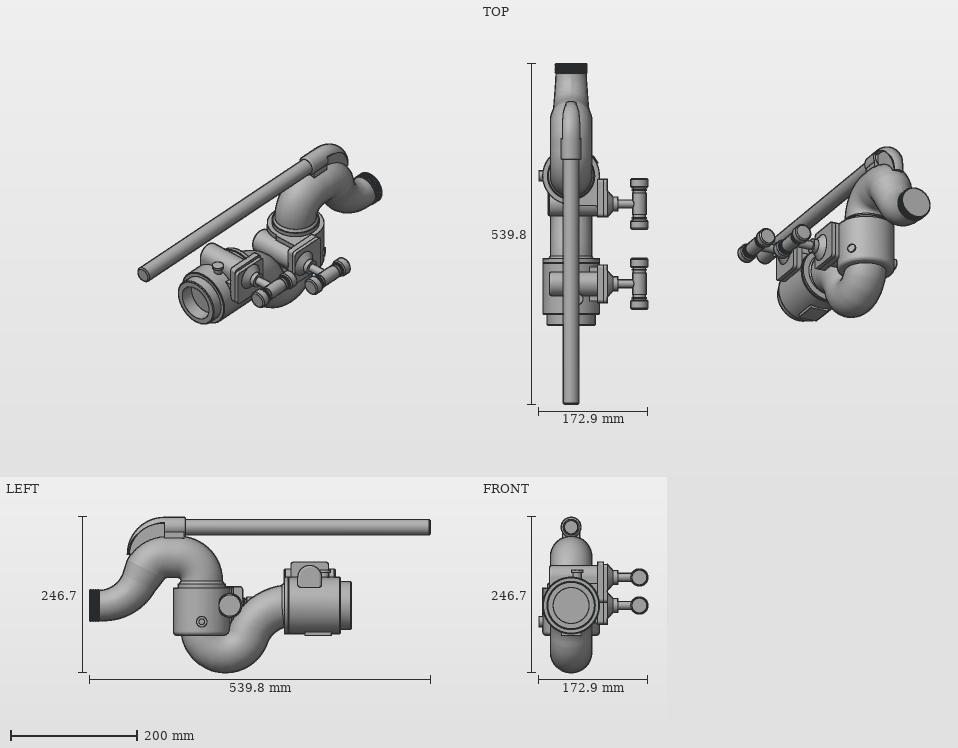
import cadquery as cq
import math


PIPE_R = 33.0
BEND_R = 37.5
SWIVEL_R = 45.0

BASE_BACK_Y = -131.0
BASE_FRONT_Y = -219.5
INLET_END_Y = -237.0
INLET_R = 38.3
INLET_BORE_R = 28.5
INLET_BORE_DEPTH = 22.0
INLET_CHAMFER = 1.5
BODY_CHAMFER = 1.2
SEAM_Y = -138.5
SEAM_WIDTH = 1.6
SEAM_DEPTH = 1.0

DRAIN_PAD_Y = -184.5
DRAIN_PAD_LENGTH = 42.0
DRAIN_PAD_WIDTH = 31.0
DRAIN_PAD_BOTTOM_Z = -47.6

PLUG_X = 9.8
PLUG_Y = -195.0
PLUG_TOP_Z = 56.0
PLUG_HEAD_R = 9.0
PLUG_HEAD_HEIGHT = 4.0
PLUG_STEM_R = 6.5

WORM_OFFSET = 44.5
WORM_R = 19.0
WORM_END_X = 42.0
MIDDLE_WORM_START_X = -36.5
BASE_WORM_START_X = -34.5
BASE_WORM_FOOT_Z = 22.0
WORM_END_FILLET = 4.0
BASE_WORM_Y = -171.0
BASE_WORM_PLACE = (0, BASE_WORM_Y, WORM_OFFSET)
MIDDLE_WORM_CHAMFER = 2.0
MIDDLE_WORM_PLACE = (0, -WORM_OFFSET, 0)

FLANGE_FACE_X = 51.5
COVER_HALF_WIDTH = 30.0
COVER_OUTER = 20.5
COVER_INNER = -39.5
COVER_THICKNESS = 6.0
COVER_CORNER_R = 5.0
BASE_FLANGE_RISE = 4.0
BLOCK_HALF_WIDTH = 27.0
BLOCK_INNER = -36.5
BLOCK_OUTER = -10.0
GUSSET_OUTER = 2.5
GUSSET_TIP = 15.5
GUSSET_START_X = 39.0

CONE_BASE_R = 21.0
CONE_HEIGHT = 9.0
HUB_R = 11.2
HUB_END_X = 74.0

CRANK_R = 6.6
KNOB_X = 108.1
KNOB_LENGTH = 81.0
KNOB_CAP_R = 13.7
KNOB_CAP_LENGTH = 15.0
KNOB_CAP_CHAMFER = 2.0
KNOB_GRIP_R = 10.9
KNOB_GRIP_HALF = 17.0
KNOB_NECK_R = 10.0
KNOB_BEAD_R = 11.5
KNOB_BEAD_WIDTH = 1.5
KNOB_BEAD_OFFSET = 21.5

HOUSING_TOP_Z = 27.4
HOUSING_BOTTOM_Z = -47.5
HOUSING_FILLET = 6.0
LOWER_BEND_Z = -36.3
LOWER_BEND_TILT = 20.0
NECK_R = 35.2
NECK_LENGTH = 4.0
SIDE_PLUG_R = 8.3
SIDE_PLUG_Z = -25.7
SIDE_PLUG_END_X = -51.1
SIDE_PLUG_SOCKET_R = 4.5
REAR_PLUG_R = 6.7
REAR_PLUG_REACH = 46.8
REAR_PLUG_ANGLE = 34.0
SIDE_PLUG_SOCKET_DEPTH = 3.0

COLLAR_R = 37.5
COLLAR_TOP_Z = 34.0
COLLAR_SHOULDER_Z = 38.5
SHOULDER_R = 36.0
APEX_Z = 77.0
APEX_STRAIGHT = 18.0
DOWN_ANGLE = 62.0
TAPER_LENGTH = 24.0
TAPER_END_R = 28.8
OUTLET_R = 24.2
OUTLET_END_Y = 177.7
THREAD_START_Y = 162.0
THREAD_R = 25.4
THREAD_DEPTH = 1.2
THREAD_COUNT = 6

BAR_Z = 124.0
BAR_R = 12.5
OVERALL_LENGTH = 539.75
BAR_END_Y = OUTLET_END_Y - OVERALL_LENGTH
BAR_CHAMFER = 2.0
SLEEVE_R = 15.9
SLEEVE_FRONT_Y = 25.5
SLEEVE_BACK_Y = 59.0
SLEEVE_NOSE_FILLET = 2.8
PEDESTAL_HALF_WIDTH = 14.0
HORN_R = 59.0
HORN_HALF_WIDTH = 14.0
HORN_TIP_HALF_WIDTH = 7.0
HORN_STRAIGHT_LENGTH = 37.0
HORN_THICKNESS = 10.0
HORN_TIP_THICKNESS = 3.0
WEB_HALF_WIDTH = 8.0


def cylinder_y(radius, start_y, end_y, x=0.0, z=0.0):
    axis_plane = cq.Plane((x, start_y, z), xDir=(1, 0, 0), normal=(0, 1, 0))
    return cq.Workplane(axis_plane).circle(radius).extrude(end_y - start_y)


def cylinder_x(radius, start_x, end_x, y=0.0, z=0.0):
    return cq.Workplane("YZ", origin=(start_x, y, z)).circle(radius).extrude(end_x - start_x)


def cylinder_z(radius, start_z, end_z, x=0.0, y=0.0):
    return cq.Workplane("XY", origin=(x, y, start_z)).circle(radius).extrude(end_z - start_z)


def box(x_range, y_range, z_range):
    size = [high - low for low, high in (x_range, y_range, z_range)]
    start = (x_range[0], y_range[0], z_range[0])
    return cq.Workplane("XY").box(*size, centered=False).translate(start)


def place_on_middle(part):
    """Turn a part laid out with the swivel below the worm so the swivel is behind it, then move it."""
    return part.rotate((0, 0, 0), (1, 0, 0), 90).translate(MIDDLE_WORM_PLACE)


def plate(start_x, thickness, outer):
    """Rounded plate square to the worm axis, reaching the given distance out from that axis."""
    height = outer - COVER_INNER
    middle = (outer + COVER_INNER) / 2
    outline = cq.Workplane("YZ", origin=(start_x, 0, middle)).rect(2 * COVER_HALF_WIDTH, height)
    return outline.extrude(thickness).edges("|X").fillet(COVER_CORNER_R)


def gear_block(flange_outer):
    flange = plate(WORM_END_X, FLANGE_FACE_X - WORM_END_X, flange_outer)
    block = box((0, WORM_END_X), (-BLOCK_HALF_WIDTH, BLOCK_HALF_WIDTH), (BLOCK_INNER, BLOCK_OUTER))
    return flange.union(block)


def gear_gusset():
    """Web that fills the corner between the swivel housing and the gear flange."""
    outline = [
        (0, BLOCK_INNER),
        (FLANGE_FACE_X, BLOCK_INNER),
        (FLANGE_FACE_X, GUSSET_TIP),
        (GUSSET_START_X, GUSSET_OUTER),
        (0, GUSSET_OUTER),
    ]
    return cq.Workplane("XZ").polyline(outline).close().extrude(HOUSING_TOP_Z, both=True)


def gear_cover():
    cover_face_x = FLANGE_FACE_X + COVER_THICKNESS
    cone_end_x = cover_face_x + CONE_HEIGHT
    hub_profile = [
        (cover_face_x, 0),
        (cover_face_x, CONE_BASE_R),
        (cone_end_x, HUB_R),
        (HUB_END_X, HUB_R),
        (HUB_END_X, 0),
    ]
    hub = cq.Workplane("XZ").polyline(hub_profile).close().revolve(360, (0, 0, 0), (1, 0, 0))
    cover = plate(FLANGE_FACE_X, COVER_THICKNESS, COVER_OUTER).union(hub)
    return cover.cut(crank_shaft())


def crank_shaft():
    shaft = cylinder_x(CRANK_R, FLANGE_FACE_X, KNOB_X)
    return shaft.cut(crank_knob())


def crank_knob():
    knob_end = KNOB_LENGTH / 2
    cap_start = knob_end - KNOB_CAP_LENGTH
    half = cylinder_y(KNOB_GRIP_R, 0, KNOB_GRIP_HALF)
    half = half.union(cylinder_y(KNOB_NECK_R, 0, cap_start))
    half = half.union(cylinder_y(KNOB_BEAD_R, KNOB_BEAD_OFFSET, KNOB_BEAD_OFFSET + KNOB_BEAD_WIDTH))
    half = half.union(cylinder_y(KNOB_CAP_R, cap_start, knob_end).faces("<Y or >Y").chamfer(KNOB_CAP_CHAMFER))
    return half.union(half.mirror("XZ")).translate((KNOB_X, 0, 0))


def build_base():
    body = cylinder_y(SWIVEL_R, BASE_FRONT_Y, BASE_BACK_Y).faces("<Y").chamfer(BODY_CHAMFER)
    seam = cylinder_y(SWIVEL_R, SEAM_Y, SEAM_Y + SEAM_WIDTH)
    seam = seam.cut(cylinder_y(SWIVEL_R - SEAM_DEPTH, SEAM_Y, SEAM_Y + SEAM_WIDTH))
    body = body.cut(seam)
    inlet = cylinder_y(INLET_R, INLET_END_Y, BASE_FRONT_Y).faces("<Y").chamfer(INLET_CHAMFER)

    worm_round = cylinder_x(WORM_R, BASE_WORM_START_X, WORM_END_X, BASE_WORM_Y, WORM_OFFSET)
    worm_skirt = box(
        (BASE_WORM_START_X, WORM_END_X),
        (BASE_WORM_Y - WORM_R, BASE_WORM_Y + WORM_R),
        (BASE_WORM_FOOT_Z, WORM_OFFSET),
    )
    worm = worm_round.union(worm_skirt).faces("<X").edges().fillet(WORM_END_FILLET)
    gears = gear_block(COVER_OUTER + BASE_FLANGE_RISE).translate(BASE_WORM_PLACE)

    pad_centre = (0, DRAIN_PAD_Y, DRAIN_PAD_BOTTOM_Z)
    pad = cq.Workplane("XY", origin=pad_centre).rect(DRAIN_PAD_WIDTH, DRAIN_PAD_LENGTH)
    pad = pad.extrude(-DRAIN_PAD_BOTTOM_Z)

    head_bottom_z = PLUG_TOP_Z - PLUG_HEAD_HEIGHT
    plug = cylinder_z(PLUG_STEM_R, 0, PLUG_TOP_Z, PLUG_X, PLUG_Y)
    plug = plug.union(cylinder_z(PLUG_HEAD_R, head_bottom_z, PLUG_TOP_Z, PLUG_X, PLUG_Y))

    bore = cylinder_y(INLET_BORE_R, INLET_END_Y, INLET_END_Y + INLET_BORE_DEPTH)
    base = body.union(inlet).union(worm).union(gears).union(pad).union(plug)
    return base.cut(bore)


def lower_pipe():
    tilt = math.radians(LOWER_BEND_TILT)
    bend_end_y = -BEND_R - BEND_R * math.cos(tilt)
    bend_end_z = LOWER_BEND_Z - BEND_R * math.sin(tilt)
    rise_r = -bend_end_z / (1 - math.sin(tilt))
    rise_end_y = bend_end_y - rise_r * math.cos(tilt)
    path = (
        cq.Workplane("YZ")
        .moveTo(0, 0)
        .lineTo(0, LOWER_BEND_Z)
        .tangentArcPoint((bend_end_y, bend_end_z), relative=False)
        .tangentArcPoint((rise_end_y, 0), relative=False)
    )
    pipe = cq.Workplane("XY").circle(PIPE_R).sweep(path)
    beyond_base = box((-SWIVEL_R, SWIVEL_R), (rise_end_y - SWIVEL_R, BASE_BACK_Y), (-SWIVEL_R, SWIVEL_R))
    neck_start = cq.Vector(0, BASE_BACK_Y, 0)
    neck = cq.Solid.makeCone(NECK_R, PIPE_R, NECK_LENGTH, neck_start, cq.Vector(0, 1, 0))
    return pipe.cut(beyond_base).union(cq.Workplane(neck))


def build_middle():
    housing = cylinder_z(SWIVEL_R, HOUSING_BOTTOM_Z, HOUSING_TOP_Z).faces("<Z").edges().fillet(HOUSING_FILLET)
    worm = cylinder_x(WORM_R, MIDDLE_WORM_START_X, WORM_END_X, -WORM_OFFSET)
    worm = worm.faces("<X").chamfer(MIDDLE_WORM_CHAMFER)
    gears = place_on_middle(gear_block(COVER_OUTER).union(gear_gusset()))
    plug = cylinder_x(SIDE_PLUG_R, SIDE_PLUG_END_X, 0, 0, SIDE_PLUG_Z)
    socket_end_x = SIDE_PLUG_END_X + SIDE_PLUG_SOCKET_DEPTH
    socket = cylinder_x(SIDE_PLUG_SOCKET_R, SIDE_PLUG_END_X, socket_end_x, 0, SIDE_PLUG_Z)
    rear_plug = cylinder_x(REAR_PLUG_R, 0, REAR_PLUG_REACH, 0, SIDE_PLUG_Z)
    rear_plug = rear_plug.rotate((0, 0, 0), (0, 0, 1), REAR_PLUG_ANGLE)
    middle = housing.union(lower_pipe()).union(worm).union(gears).union(plug).union(rear_plug)
    return middle.cut(socket)


def discharge_pipe():
    down = math.radians(DOWN_ANGLE)
    bend_start_z = APEX_Z - BEND_R
    apex_end_y = BEND_R + APEX_STRAIGHT
    taper_start_y = apex_end_y + BEND_R * math.sin(down)
    taper_start_z = APEX_Z - BEND_R * (1 - math.cos(down))
    taper_end_y = taper_start_y + TAPER_LENGTH * math.cos(down)
    taper_end_z = taper_start_z - TAPER_LENGTH * math.sin(down)
    outlet_bend_r = taper_end_z / (1 - math.cos(down))
    outlet_bend_end_y = taper_end_y + outlet_bend_r * math.sin(down)

    upper_path = (
        cq.Workplane("YZ")
        .moveTo(0, HOUSING_TOP_Z)
        .lineTo(0, bend_start_z)
        .tangentArcPoint((BEND_R, APEX_Z), relative=False)
        .lineTo(apex_end_y, APEX_Z)
        .tangentArcPoint((taper_start_y, taper_start_z), relative=False)
    )
    upper = cq.Workplane("XY", origin=(0, 0, HOUSING_TOP_Z)).circle(PIPE_R).sweep(upper_path)

    flow = cq.Vector(0, math.cos(down), -math.sin(down))
    taper = cq.Workplane(
        cq.Solid.makeCone(PIPE_R, TAPER_END_R, TAPER_LENGTH, cq.Vector(0, taper_start_y, taper_start_z), flow)
    )

    outlet_path = (
        cq.Workplane("YZ")
        .moveTo(taper_end_y, taper_end_z)
        .radiusArc((outlet_bend_end_y, 0), -outlet_bend_r)
    )
    inner_plane = cq.Plane((0, taper_end_y, taper_end_z), xDir=(1, 0, 0), normal=flow.toTuple())
    outer_plane = cq.Plane((0, outlet_bend_end_y, 0), xDir=(1, 0, 0), normal=(0, 1, 0))
    outlet_bend = cq.Workplane(
        cq.Solid.sweep_multi(
            [
                cq.Wire.makeCircle(TAPER_END_R, inner_plane.origin, inner_plane.zDir),
                cq.Wire.makeCircle(OUTLET_R, outer_plane.origin, outer_plane.zDir),
            ],
            cq.Wire.assembleEdges([outlet_path.val()]),
        )
    )
    outlet = cylinder_y(OUTLET_R, outlet_bend_end_y, OUTLET_END_Y)
    return upper.union(taper).union(outlet_bend).union(outlet)


def outlet_thread():
    pitch = (OUTLET_END_Y - THREAD_START_Y) / THREAD_COUNT
    root_r = THREAD_R - THREAD_DEPTH
    profile = cq.Workplane("XY").moveTo(0, THREAD_START_Y).lineTo(root_r, THREAD_START_Y)
    for turn in range(THREAD_COUNT):
        ridge_start_y = THREAD_START_Y + turn * pitch
        profile = profile.lineTo(THREAD_R, ridge_start_y + pitch / 2).lineTo(root_r, ridge_start_y + pitch)
    profile = profile.lineTo(0, OUTLET_END_Y).close()
    return profile.revolve(360, (0, 0, 0), (0, 1, 0))


def swivel_collar():
    collar = cylinder_z(COLLAR_R, HOUSING_TOP_Z, COLLAR_TOP_Z)
    shoulder = cq.Solid.makeCone(
        SHOULDER_R, PIPE_R, COLLAR_SHOULDER_Z - COLLAR_TOP_Z, cq.Vector(0, 0, COLLAR_TOP_Z)
    )
    return collar.union(cq.Workplane(shoulder))


def bar_socket():
    sleeve = cylinder_y(SLEEVE_R, SLEEVE_FRONT_Y, SLEEVE_BACK_Y, z=BAR_Z)
    sleeve = sleeve.faces("<Y").edges().fillet(SLEEVE_NOSE_FILLET)
    pedestal = box(
        (-PEDESTAL_HALF_WIDTH, PEDESTAL_HALF_WIDTH),
        (SLEEVE_FRONT_Y + SLEEVE_NOSE_FILLET, SLEEVE_BACK_Y),
        (APEX_Z, BAR_Z),
    )

    horn_top_z = BAR_Z + SLEEVE_R
    horn_centre_z = horn_top_z - HORN_R
    horn_tip_y = SLEEVE_BACK_Y + HORN_R
    diagonal = math.sqrt(0.5)
    outer_mid = (SLEEVE_BACK_Y + HORN_R * diagonal, horn_centre_z + HORN_R * diagonal)
    inner_r = HORN_R - (HORN_THICKNESS + HORN_TIP_THICKNESS) / 2
    inner_mid = (SLEEVE_BACK_Y + inner_r * diagonal, horn_centre_z + inner_r * diagonal)
    strap = (
        cq.Workplane("YZ")
        .moveTo(SLEEVE_BACK_Y, horn_top_z)
        .threePointArc(outer_mid, (horn_tip_y, horn_centre_z))
        .lineTo(horn_tip_y - HORN_TIP_THICKNESS, horn_centre_z)
        .threePointArc(inner_mid, (SLEEVE_BACK_Y, horn_top_z - HORN_THICKNESS))
        .close()
        .extrude(HORN_HALF_WIDTH, both=True)
    )
    plan_taper_y = SLEEVE_BACK_Y + HORN_STRAIGHT_LENGTH
    plan = [
        (-HORN_HALF_WIDTH, SLEEVE_BACK_Y),
        (HORN_HALF_WIDTH, SLEEVE_BACK_Y),
        (HORN_HALF_WIDTH, plan_taper_y),
        (HORN_TIP_HALF_WIDTH, horn_tip_y),
        (-HORN_TIP_HALF_WIDTH, horn_tip_y),
        (-HORN_HALF_WIDTH, plan_taper_y),
    ]
    strap = strap.intersect(cq.Workplane("XY").polyline(plan).close().extrude(horn_top_z))
    round_horn = (
        cq.Workplane("XZ", origin=(0, SLEEVE_BACK_Y, BAR_Z))
        .circle(SLEEVE_R)
        .revolve(90, (1, SLEEVE_R - HORN_R), (0, SLEEVE_R - HORN_R))
    )
    strap = strap.intersect(round_horn)
    web = (
        cq.Workplane("YZ")
        .moveTo(SLEEVE_BACK_Y, horn_top_z - HORN_THICKNESS)
        .threePointArc(inner_mid, (horn_tip_y - HORN_TIP_THICKNESS, horn_centre_z))
        .lineTo(SLEEVE_BACK_Y, horn_centre_z)
        .close()
        .extrude(WEB_HALF_WIDTH, both=True)
    )
    return sleeve.union(pedestal).union(strap).union(web)


def build_discharge():
    elbow = discharge_pipe().union(swivel_collar()).union(outlet_thread()).union(bar_socket())
    return elbow.cut(build_bar())


def build_bar():
    bar = cylinder_y(BAR_R, BAR_END_Y, SLEEVE_BACK_Y, z=BAR_Z)
    return bar.faces("<Y").chamfer(BAR_CHAMFER)


base = build_base()
middle = build_middle()
discharge = build_discharge()
bar = build_bar()

covers = [gear_cover().translate(BASE_WORM_PLACE), place_on_middle(gear_cover())]
shafts = [crank_shaft().translate(place) for place in (BASE_WORM_PLACE, MIDDLE_WORM_PLACE)]
knobs = [crank_knob().translate(place) for place in (BASE_WORM_PLACE, MIDDLE_WORM_PLACE)]

bodies = [base, middle, discharge, bar, *covers, *shafts, *knobs]
result = cq.Compound.makeCompound([body.solids().val() for body in bodies])